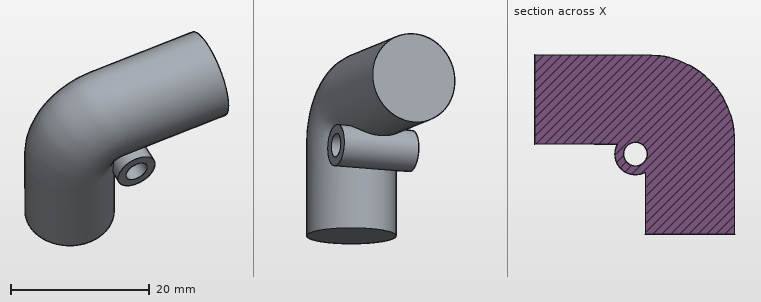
import cadquery as cq

pipe_diameter = 13.0
pipe_radius = pipe_diameter / 2
overall_length_y = 29.0
overall_height_z = 26.0
bend_radius = 6.0

eyelet_diameter = 6.0
eyelet_hole_diameter = 3.4
eyelet_width = 11.8
eyelet_offset = 7.9

horizontal_end = overall_length_y - pipe_radius
vertical_end = overall_height_z - pipe_radius


def make_horizontal_pipe():
    """Straight leg along +Y, starting where the bend ends."""
    start = cq.Workplane("XZ", origin=(0, horizontal_end, 0))
    return start.circle(pipe_radius).extrude(horizontal_end - bend_radius)


def make_vertical_pipe():
    """Straight leg along -Z, ending where the bend starts."""
    start = cq.Workplane("XY", origin=(0, 0, -vertical_end))
    return start.circle(pipe_radius).extrude(vertical_end - bend_radius)


def make_bend():
    """Quarter turn whose round section is cut off flat at the bend axis."""
    half_chord = (pipe_radius**2 - bend_radius**2) ** 0.5
    section = (
        cq.Workplane("XY", origin=(0, 0, -bend_radius))
        .moveTo(-half_chord, bend_radius)
        .threePointArc((0, -pipe_radius), (half_chord, bend_radius))
        .close()
    )
    return section.revolve(90, (0, bend_radius, 0), (-1, bend_radius, 0))


def eyelet_cylinder(diameter):
    """Cylinder as long as the eyelet, on its axis and centred on the elbow plane."""
    centre = cq.Workplane("YZ").center(eyelet_offset, -eyelet_offset)
    return centre.circle(diameter / 2).extrude(eyelet_width / 2, both=True)


elbow = make_bend().union(make_horizontal_pipe()).union(make_vertical_pipe())
eyelet = eyelet_cylinder(eyelet_diameter)
eyelet_hole = eyelet_cylinder(eyelet_hole_diameter)

result = elbow.union(eyelet).cut(eyelet_hole)